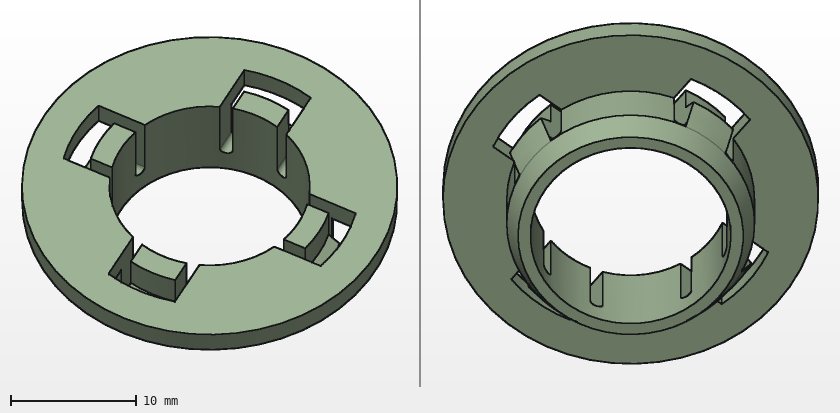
import cadquery as cq

flange_radius = 15.0
bore_radius = 8.0
flange_thickness = 2.0
total_height = 8.0

sleeve_radius = 9.9
nose_radius = 9.0
nose_height = 2.0

prong_count = 4
prong_width = 4.02
prong_gap = 1.0
gap_floor_rise = 0.03
window_radius = 12.0
window_width = prong_width + 2 * prong_gap
prong_root_z = nose_height / 2
window_core_radius = 6.42

catch_radius = 10.9
catch_tip_z = 4.62
catch_top_z = 5.22

flange_bottom_z = total_height - flange_thickness


def revolve_profile(points):
    """Revolve a closed (radius, z) outline about Z, with its seam midway between two prongs."""
    ring = cq.Workplane("XZ").polyline(points).close().revolve(360, (0, 0), (0, 1))
    return ring.rotate((0, 0, 0), (0, 0, 1), 180 / prong_count)


def radial_block(width, z_bottom, z_top):
    """Block running outward along +X from the axis."""
    return (
        cq.Workplane("XY")
        .workplane(offset=z_bottom)
        .center(flange_radius / 2, 0)
        .rect(flange_radius, width)
        .extrude(z_top - z_bottom)
    )


def make_body():
    """Flange, sleeve and tapered nose, still solid at the centre."""
    return revolve_profile([
        (0, 0),
        (nose_radius, 0),
        (sleeve_radius, nose_height),
        (sleeve_radius, flange_bottom_z),
        (flange_radius, flange_bottom_z),
        (flange_radius, total_height),
        (0, total_height),
    ])


def make_window():
    """Opening around a prong, with round-bottomed gaps at its two sides."""
    gap_radius = prong_gap / 2
    gap_centre_z = nose_height + gap_floor_rise + gap_radius
    window = radial_block(window_width, gap_centre_z, total_height)
    for side in (-1, 1):
        gap_centre_y = side * (prong_width + prong_gap) / 2
        gap_bottom = (
            cq.Workplane("YZ")
            .center(gap_centre_y, gap_centre_z)
            .circle(gap_radius)
            .extrude(flange_radius)
        )
        window = window.union(gap_bottom)
    limit = cq.Workplane("XY").circle(window_radius).extrude(total_height)
    core = cq.Workplane("XY").circle(window_core_radius).extrude(total_height)
    return window.intersect(limit).cut(core)


def make_prong():
    """Prong rooted in the nose and reaching the flange top, with a wedge-shaped catch."""
    blank = revolve_profile([
        (0, prong_root_z),
        (bore_radius, prong_root_z),
        (sleeve_radius, nose_height),
        (catch_radius, catch_tip_z),
        (sleeve_radius, catch_top_z),
        (sleeve_radius, total_height),
        (0, total_height),
    ])
    return blank.intersect(radial_block(prong_width, 0, total_height))


def make_bore():
    """Through hole that also shapes the inner faces of the prongs."""
    return cq.Workplane("XY").circle(bore_radius).extrude(total_height)


result = make_body()
window = make_window()
prong = make_prong()
for index in range(prong_count):
    angle = index * 360 / prong_count
    result = result.cut(window.rotate((0, 0, 0), (0, 0, 1), angle))
    result = result.union(prong.rotate((0, 0, 0), (0, 0, 1), angle))
result = result.cut(make_bore())